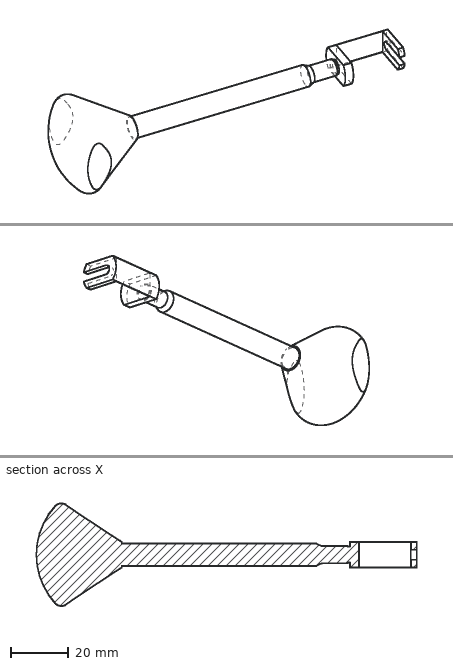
import cadquery as cq
import math

total_length = 133.3

knob_width = 30.0
knob_length = 30.0
knob_radius = 18.0
dome_radius = 25.0
rim_radius = 2.9
cone_end_radius = 4.5

rod_radius = 4.0
rod_end_y = 100.1
rod_taper_length = 2.1
pin_radius = 3.0
pin_end_y = 109.0
neck_radius = 2.8

hook_diameter = 15.0
hook_height = 9.0
hook_length = 23.5
wall_thickness = 1.7
end_plate_thickness = 2.1
base_plate_thickness = 3.2
slot_width = 3.5
slot_center_x = -2.7

hook_radius = hook_diameter / 2
hook_base_y = total_length - hook_length
end_plate_y = total_length - end_plate_thickness


def cylinder_y(radius, start_y, end_y, center_x=0):
    """Cylinder parallel to Y between two y positions."""
    plane = cq.Workplane("XZ", origin=(center_x, start_y, 0))
    return plane.circle(radius).extrude(start_y - end_y)


def block(start_x, end_x, start_y, end_y, height):
    """Rectangular block centered on z = 0."""
    size = (end_x - start_x, end_y - start_y, height)
    return cq.Workplane("XY").box(*size, centered=(False, False, True)).translate((start_x, start_y, 0))


def make_knob():
    """Revolved dome, rounded rim and cone, trimmed by two flats."""
    rim_x = knob_radius - rim_radius
    rim_y = dome_radius - math.sqrt((dome_radius - rim_radius) ** 2 - rim_x**2)

    def on_rim(angle):
        return (rim_x + rim_radius * math.cos(angle), rim_y + rim_radius * math.sin(angle))

    dome_end_angle = math.atan2(rim_y - dome_radius, rim_x)
    dome_mid_angle = (dome_end_angle - math.pi / 2) / 2
    dome_mid = (
        dome_radius * math.cos(dome_mid_angle),
        dome_radius + dome_radius * math.sin(dome_mid_angle),
    )

    run = rim_x - cone_end_radius
    rise = knob_length - rim_y
    cone_angle = math.atan2(run, rise) + math.asin(rim_radius / math.hypot(run, rise))

    profile = (
        cq.Workplane("XY")
        .moveTo(0, 0)
        .threePointArc(dome_mid, on_rim(dome_end_angle))
        .threePointArc(on_rim(0), on_rim(cone_angle))
        .lineTo(cone_end_radius, knob_length)
        .lineTo(0, knob_length)
        .close()
    )
    knob = profile.revolve(360, (0, 0, 0), (0, 1, 0))
    between_flats = block(-knob_width / 2, knob_width / 2, 0, knob_length, 2 * knob_radius)
    return knob.intersect(between_flats)


def make_shaft():
    """Rod tapering down to the thinner pin, then the relief neck."""
    rod = cylinder_y(rod_radius, knob_length, rod_end_y)
    rod = rod.faces(">Y").chamfer(rod_taper_length, rod_radius - pin_radius)
    pin = cylinder_y(pin_radius, rod_end_y, pin_end_y)
    neck = cylinder_y(neck_radius, pin_end_y, hook_base_y)
    return rod.union(pin).union(neck)


def make_hook():
    """Cylinder with flat top and bottom, opened toward +X and slotted in its end plate."""
    between_flats = block(-hook_radius, hook_radius, hook_base_y, total_length, hook_height)
    body = cylinder_y(hook_radius, hook_base_y, total_length).intersect(between_flats)

    opening = block(
        wall_thickness - hook_radius,
        hook_radius,
        hook_base_y + base_plate_thickness,
        end_plate_y,
        hook_height,
    )

    slot_end = cylinder_y(slot_width / 2, end_plate_y, total_length, slot_center_x)
    slot = block(slot_center_x, hook_radius, end_plate_y, total_length, slot_width).union(slot_end)
    return body.cut(opening).cut(slot)


result = make_knob().union(make_shaft()).union(make_hook())